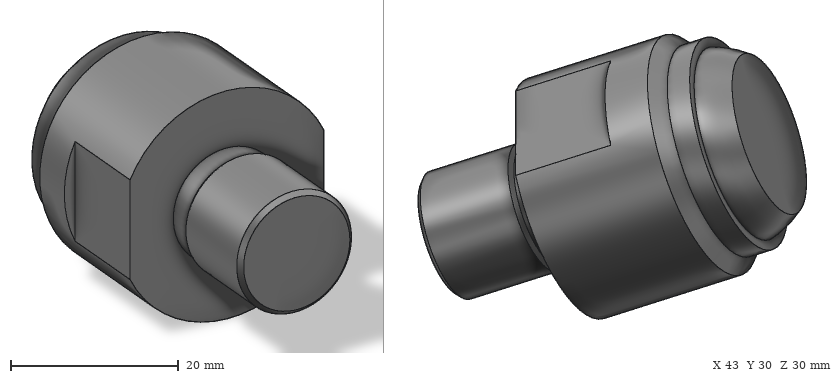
import cadquery as cq
import math


collar_start = 4.05
collar_end = 7.0
housing_end = 27.0
neck_end = 30.25
total_length = 43.0

housing_radius = 15.0
collar_radius = 13.25
neck_radius = 7.5
thread_radius = 8.0
thread_chamfer = 0.6

flat_start = 14.4
flat_distance = 13.5

ball_radius = 12.5
ball_face_radius = 10.0
ball_center = math.sqrt(ball_radius**2 - ball_face_radius**2)


def make_ball():
    """Sphere cut off by the flat pressing face at X = 0."""
    profile = (
        cq.Workplane("XY")
        .moveTo(0, 0)
        .lineTo(0, ball_face_radius)
        .threePointArc((ball_center, ball_radius), (ball_center + ball_radius, 0))
        .close()
    )
    return profile.revolve(360, (0, 0, 0), (1, 0, 0))


def make_turned_blank():
    """Collar, bevelled cylinder, neck and threaded end as one revolved shape."""
    bevel_end = collar_end + housing_radius - collar_radius
    profile = cq.Workplane("XY").polyline([
        (collar_start, 0),
        (collar_start, collar_radius),
        (collar_end, collar_radius),
        (bevel_end, housing_radius),
        (housing_end, housing_radius),
        (housing_end, neck_radius),
        (neck_end, neck_radius),
        (neck_end + thread_radius - neck_radius, thread_radius),
        (total_length - thread_chamfer, thread_radius),
        (total_length, thread_radius - thread_chamfer),
        (total_length, 0),
    ]).close()
    return profile.revolve(360, (0, 0, 0), (1, 0, 0))


def make_flat_cutter(side):
    """Block that removes material outside one wrench flat; side is -1 or +1."""
    depth = housing_radius - flat_distance
    length = housing_end - flat_start
    return cq.Workplane("XY").box(length, depth, 2 * housing_radius).translate(
        (flat_start + length / 2, side * (flat_distance + depth / 2), 0)
    )


def make_housing(ball):
    """Turned blank with two wrench flats and a socket that matches the ball."""
    housing = make_turned_blank()
    for side in (-1, 1):
        housing = housing.cut(make_flat_cutter(side))
    return housing.cut(ball).solids()


ball = make_ball()
housing = make_housing(ball)

result = cq.Compound.makeCompound([housing.val(), ball.val()])